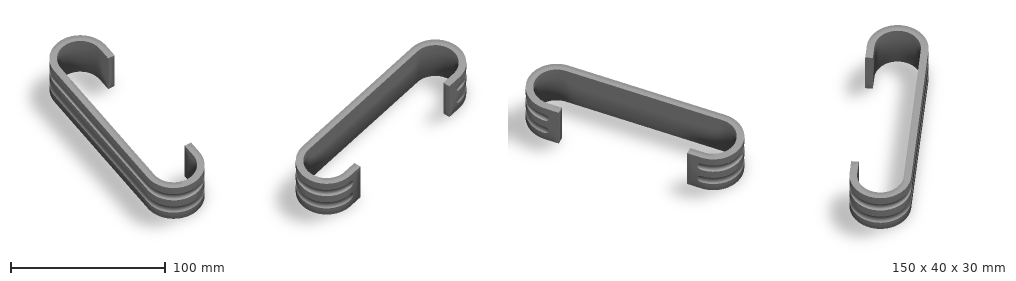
import cadquery as cq

length = 150.0
width = 40.0
height = 30.0
wall = 5.0
end_reach = 30.0
groove_radius = 3.0
groove_pitch = 12.0

outer_radius = width / 2
inner_radius = outer_radius - wall
arc_center_x = length / 2 - outer_radius
lip_x = length / 2 - end_reach


def hooked_strip():
    """Straight bar with both ends curled round to short, inward-facing lips."""
    return (
        cq.Workplane("XY")
        .workplane(offset=-height / 2)
        .moveTo(-lip_x, outer_radius)
        .lineTo(-arc_center_x, outer_radius)
        .threePointArc((-length / 2, 0), (-arc_center_x, -outer_radius))
        .lineTo(arc_center_x, -outer_radius)
        .threePointArc((length / 2, 0), (arc_center_x, outer_radius))
        .lineTo(lip_x, outer_radius)
        .lineTo(lip_x, inner_radius)
        .lineTo(arc_center_x, inner_radius)
        .threePointArc((arc_center_x + inner_radius, 0), (arc_center_x, -inner_radius))
        .lineTo(-arc_center_x, -inner_radius)
        .threePointArc((-arc_center_x - inner_radius, 0), (-arc_center_x, inner_radius))
        .lineTo(-lip_x, inner_radius)
        .close()
        .extrude(height)
    )


def groove_cutters(z):
    """Round rods along the outer face, with ball ends where the curled ends meet the lips."""
    straight = (
        cq.Workplane("YZ")
        .workplane(offset=-arc_center_x)
        .center(-outer_radius, z)
        .circle(groove_radius)
        .extrude(2 * arc_center_x)
    )
    right_bend = (
        cq.Workplane("YZ")
        .workplane(offset=arc_center_x)
        .center(-outer_radius, z)
        .circle(groove_radius)
        .revolve(180, (outer_radius, 0), (outer_radius, 1))
    )
    right_end = cq.Workplane("XY").sphere(groove_radius).translate((arc_center_x, outer_radius, z))
    right_cutters = [right_bend, right_end]
    left_cutters = [cutter.mirror("YZ") for cutter in right_cutters]
    return [straight] + right_cutters + left_cutters


result = hooked_strip()
for groove_z in (-groove_pitch / 2, groove_pitch / 2):
    for cutter in groove_cutters(groove_z):
        result = result.cut(cutter, clean=False)